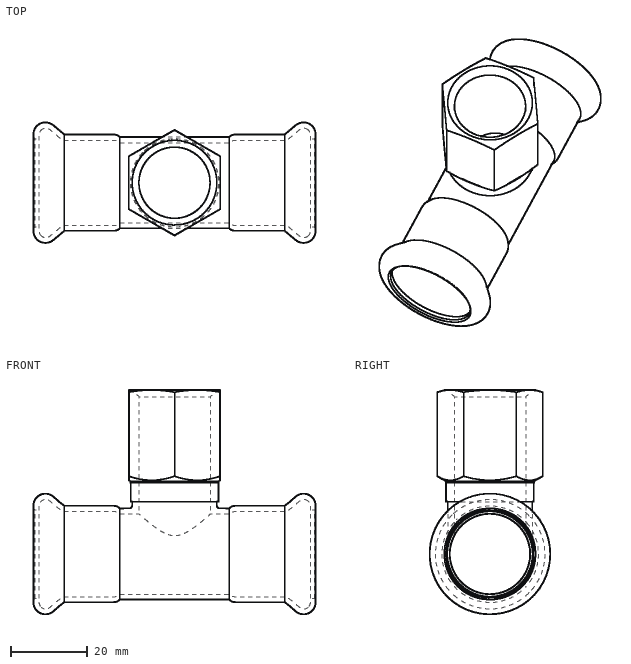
import cadquery as cq
import math

run_length = 74.0
run_radius = 12.0
run_bore_radius = 10.5
wall = run_radius - run_bore_radius
barrel_radius = 12.65
barrel_bore_radius = barrel_radius - wall
shoulder_start = 21.2
shoulder_end = 22.65

bead_radius = 3.2
bead_center_radius = barrel_radius
groove_radius = bead_radius - wall
flare_end = 8.15
mouth_radius = 12.0
lip_radius = 11.55
socket_entry_round = 1.85

branch_top = 43.0
branch_radius = 11.1
branch_bore_radius = 9.3
collar_radius = 11.55
collar_bottom = 13.7
junction_fillet = 0.75

hex_across_flats = 24.0
hex_across_corners = hex_across_flats / math.cos(math.radians(30))
hex_bottom = 19.1
neck_radius = 11.6
neck_bottom = 18.65
top_bevel_radius = 11.85
top_bevel_slope = 0.3
bottom_bevel_slope = math.tan(math.radians(30))
mouth_chamfer = 1.8


def bead_point(radius, angle):
    """Point on a circle about the bead centre: (distance from the mouth, distance from the axis)."""
    return (bead_radius + radius * math.cos(angle), bead_center_radius + radius * math.sin(angle))


flare_angle = math.acos(bead_radius / (flare_end - bead_radius))
middle_angle = (flare_angle + math.pi) / 2
groove_end = bead_radius + (
    groove_radius + wall * math.sin(flare_angle)
) / math.cos(flare_angle)


def shoulder_middle(start_radius, end_radius):
    """Middle of the shoulder arc, which leaves the barrel along a tangent."""
    length = shoulder_end - shoulder_start
    drop = start_radius - end_radius
    arc_radius = (length**2 + drop**2) / (2 * drop)
    half_angle = math.asin(length / arc_radius) / 2
    return (
        shoulder_start + arc_radius * math.sin(half_angle),
        start_radius - arc_radius * (1 - math.cos(half_angle)),
    )


def run_outside():
    half = (
        cq.Workplane("XY")
        .moveTo(0, 0)
        .lineTo(0, bead_center_radius)
        .threePointArc(bead_point(bead_radius, middle_angle), bead_point(bead_radius, flare_angle))
        .lineTo(flare_end, barrel_radius)
        .lineTo(shoulder_start, barrel_radius)
        .threePointArc(shoulder_middle(barrel_radius, run_radius), (shoulder_end, run_radius))
        .lineTo(run_length / 2, run_radius)
        .lineTo(run_length / 2, 0)
        .close()
        .revolve(360, (0, 0, 0), (1, 0, 0))
        .translate((-run_length / 2, 0, 0))
    )
    return half.union(half.mirror("YZ"))


def socket_cavity():
    """Bore of the left half: chamfered lip, seal groove, socket and run bore."""
    lip_chamfer = mouth_radius - lip_radius
    entry_turn = math.pi / 2 - flare_angle
    entry_length = socket_entry_round * math.tan(entry_turn / 2)
    entry_start = (
        groove_end - entry_length * math.cos(entry_turn),
        barrel_bore_radius + entry_length * math.sin(entry_turn),
    )
    entry_end = groove_end + entry_length
    entry_middle = (
        entry_end - socket_entry_round * math.sin(entry_turn / 2),
        barrel_bore_radius + socket_entry_round * (1 - math.cos(entry_turn / 2)),
    )
    return (
        cq.Workplane("XY")
        .moveTo(0, 0)
        .lineTo(0, mouth_radius)
        .lineTo(lip_chamfer, lip_radius)
        .lineTo(wall, lip_radius)
        .lineTo(wall, bead_center_radius)
        .threePointArc(bead_point(groove_radius, middle_angle), bead_point(groove_radius, flare_angle))
        .lineTo(*entry_start)
        .threePointArc(entry_middle, (entry_end, barrel_bore_radius))
        .lineTo(shoulder_start, barrel_bore_radius)
        .threePointArc(shoulder_middle(barrel_bore_radius, run_bore_radius), (shoulder_end, run_bore_radius))
        .lineTo(run_length / 2, run_bore_radius)
        .lineTo(run_length / 2, 0)
        .close()
        .revolve(360, (0, 0, 0), (1, 0, 0))
        .translate((-run_length / 2, 0, 0))
    )


def hex_end():
    """Hexagonal prism with corners at +Y and -Y, bevelled by cones at both ends."""
    corner_radius = hex_across_corners / 2
    top_drop = (corner_radius - top_bevel_radius) * top_bevel_slope
    bottom_rise = (corner_radius - neck_radius) * bottom_bevel_slope
    prism = (
        cq.Workplane("XY", origin=(0, 0, hex_bottom))
        .polygon(6, hex_across_corners)
        .extrude(branch_top - hex_bottom)
        .rotate((0, 0, 0), (0, 0, 1), 30)
    )
    bevels = (
        cq.Workplane("XZ")
        .moveTo(0, hex_bottom)
        .lineTo(neck_radius, hex_bottom)
        .lineTo(corner_radius, hex_bottom + bottom_rise)
        .lineTo(corner_radius, branch_top - top_drop)
        .lineTo(top_bevel_radius, branch_top)
        .lineTo(0, branch_top)
        .close()
        .revolve(360, (0, 0, 0), (0, 1, 0))
    )
    return prism.intersect(bevels)


def filleted_tee():
    """Run and plain branch tube, with a fillet along the curve where they meet."""
    tube = cq.Workplane("XY").circle(branch_radius).extrude(collar_bottom)
    tee = run_outside().union(tube)
    reach = branch_radius + junction_fillet
    around_junction = cq.selectors.BoxSelector(
        (-reach, -run_radius, 0),
        (reach, run_radius, collar_bottom - junction_fillet),
        boundingbox=True,
    )
    return tee.edges(around_junction).fillet(junction_fillet)


def branch_bore():
    return (
        cq.Workplane("XZ")
        .lineTo(branch_bore_radius, 0)
        .lineTo(branch_bore_radius, branch_top - mouth_chamfer)
        .lineTo(branch_bore_radius + mouth_chamfer, branch_top)
        .lineTo(0, branch_top)
        .close()
        .revolve(360, (0, 0, 0), (0, 1, 0))
    )


collar = (
    cq.Workplane("XY", origin=(0, 0, collar_bottom))
    .circle(collar_radius)
    .extrude(neck_bottom - collar_bottom)
    .faces(">Z")
    .workplane()
    .circle(neck_radius)
    .extrude(hex_bottom - neck_bottom)
)
cavity = socket_cavity()

result = (
    filleted_tee()
    .union(collar)
    .union(hex_end())
    .cut(cavity)
    .cut(cavity.mirror("YZ"))
    .cut(branch_bore())
)